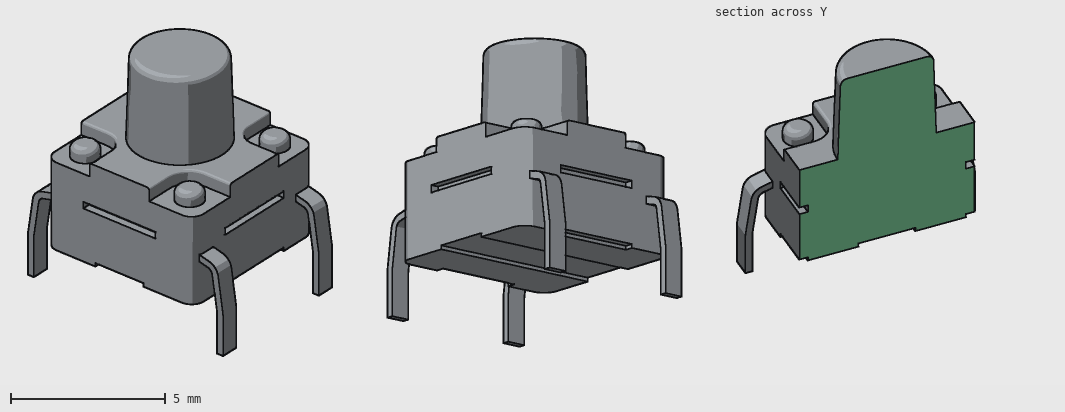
import cadquery as cq
import math

BODY_SIZE = 6.2
BODY_HEIGHT = 3.8
BODY_CORNER_RADIUS = 0.5

POCKET_WALL = 1.24
POCKET_DEPTH = 0.5
POCKET_CORNER_RADIUS = 0.8
POCKET_EDGE_RADIUS = 0.1

STAKE_DIAMETER = 1.0
STAKE_OFFSET = 2.175
STAKE_EDGE_RADIUS = 0.25

BUTTON_BASE_DIAMETER = 3.5
BUTTON_TOP_DIAMETER = 3.3
BUTTON_TOP_Z = 7.0
BUTTON_EDGE_RADIUS = 0.25

SLOT_LENGTH = 3.0
SLOT_HEIGHT = 0.25
SLOT_DEPTH = 0.3
SLOT_FLOOR_Z = 2.0

RELIEF_HEIGHT = 0.13
CHANNEL_WIDTH = 2.0
NOTCH_LENGTH = 3.0
NOTCH_DEPTH = 0.3

LEG_THICKNESS = 0.25
LEG_WIDTH = 0.68
LEG_SPAN = 8.12
LEG_OFFSET_Y = 2.45
LEG_TIP_Z = -1.6
LEG_KNEE_Z = -0.06
LEG_LEAN = 8.5
LEG_SLOPED_LENGTH = 1.33
LEG_ENTRY_ANGLE = 14.0
LEG_BEND_RADIUS = 0.375
LEG_ENTRY_LENGTH = 0.6

SIGNS = (-1, 1)


def make_housing():
    housing = cq.Workplane("XY").box(BODY_SIZE, BODY_SIZE, BODY_HEIGHT, centered=(True, True, False))
    return housing.edges("|Z").fillet(BODY_CORNER_RADIUS)


def make_pocket():
    """Cutter for the +X +Y corner, reaching well past the outer faces."""
    floor_z = BODY_HEIGHT - POCKET_DEPTH
    return (
        cq.Workplane("XY", origin=(POCKET_WALL, POCKET_WALL, floor_z))
        .box(BODY_SIZE, BODY_SIZE, POCKET_DEPTH, centered=False)
        .edges("|Z and <X and <Y")
        .fillet(POCKET_CORNER_RADIUS)
    )


def cut_pockets(housing):
    for turn in range(4):
        housing = housing.cut(make_pocket().rotate((0, 0, 0), (0, 0, 1), 90 * turn))
    inner_half = BODY_SIZE / 2 - POCKET_EDGE_RADIUS
    rims = cq.selectors.BoxSelector(
        (-inner_half, -inner_half, BODY_HEIGHT - POCKET_EDGE_RADIUS),
        (inner_half, inner_half, BODY_HEIGHT + POCKET_EDGE_RADIUS),
    )
    return housing.faces(">Z").edges(rims).fillet(POCKET_EDGE_RADIUS)


def cut_side_slots(housing):
    slot = cq.Workplane("XY", origin=(BODY_SIZE / 2, 0, SLOT_FLOOR_Z)).box(
        2 * SLOT_DEPTH, SLOT_LENGTH, SLOT_HEIGHT, centered=(True, True, False)
    )
    for turn in range(4):
        housing = housing.cut(slot.rotate((0, 0, 0), (0, 0, 1), 90 * turn))
    return housing


def cut_underside(housing):
    channel = cq.Workplane("XY").box(CHANNEL_WIDTH, BODY_SIZE, RELIEF_HEIGHT, centered=(True, True, False))
    housing = housing.cut(channel)
    for side in SIGNS:
        notch = cq.Workplane("XY", origin=(side * BODY_SIZE / 2, 0, 0)).box(
            2 * NOTCH_DEPTH, NOTCH_LENGTH, RELIEF_HEIGHT, centered=(True, True, False)
        )
        housing = housing.cut(notch)
    return housing


def make_stakes():
    centres = [(x * STAKE_OFFSET, y * STAKE_OFFSET) for x in SIGNS for y in SIGNS]
    return (
        cq.Workplane("XY", origin=(0, 0, BODY_HEIGHT - POCKET_DEPTH))
        .pushPoints(centres)
        .circle(STAKE_DIAMETER / 2)
        .extrude(POCKET_DEPTH)
        .faces(">Z")
        .edges()
        .fillet(STAKE_EDGE_RADIUS)
    )


def make_button():
    height = BUTTON_TOP_Z - BODY_HEIGHT
    taper = math.degrees(math.atan((BUTTON_BASE_DIAMETER - BUTTON_TOP_DIAMETER) / 2 / height))
    return (
        cq.Workplane("XY", origin=(0, 0, BODY_HEIGHT))
        .circle(BUTTON_BASE_DIAMETER / 2)
        .extrude(height, taper=taper)
        .faces(">Z")
        .edges()
        .fillet(BUTTON_EDGE_RADIUS)
    )


def bend(path, heading, angle):
    """Continue the path with an arc that turns left from the heading by the angle (degrees)."""
    chord = 2 * LEG_BEND_RADIUS * math.sin(math.radians(angle / 2))
    direction = math.radians(heading + angle / 2)
    return path.tangentArcPoint((chord * math.cos(direction), chord * math.sin(direction)))


def make_leg():
    """Leg on the +X side, centred on Y = 0, swept from its tip up into the housing."""
    tip_x = (LEG_SPAN - LEG_THICKNESS) / 2
    upright = 90
    leaning = upright + LEG_LEAN
    entering = 180 - LEG_ENTRY_ANGLE

    path = cq.Workplane("XZ").moveTo(tip_x, LEG_TIP_Z).lineTo(tip_x, LEG_KNEE_Z)
    path = bend(path, upright, LEG_LEAN)
    path = path.polarLine(LEG_SLOPED_LENGTH, leaning)
    path = bend(path, leaning, entering - leaning)
    path = path.polarLine(LEG_ENTRY_LENGTH, entering)

    section = cq.Workplane("XY", origin=(tip_x, 0, LEG_TIP_Z)).rect(LEG_THICKNESS, LEG_WIDTH)
    return section.sweep(path)


def add_legs(part):
    leg = make_leg()
    for side_leg in (leg, leg.mirror("YZ")):
        for side in SIGNS:
            part = part.union(side_leg.translate((0, side * LEG_OFFSET_Y, 0)))
    return part


housing = cut_underside(cut_side_slots(cut_pockets(make_housing())))
result = add_legs(housing.union(make_stakes()).union(make_button()))